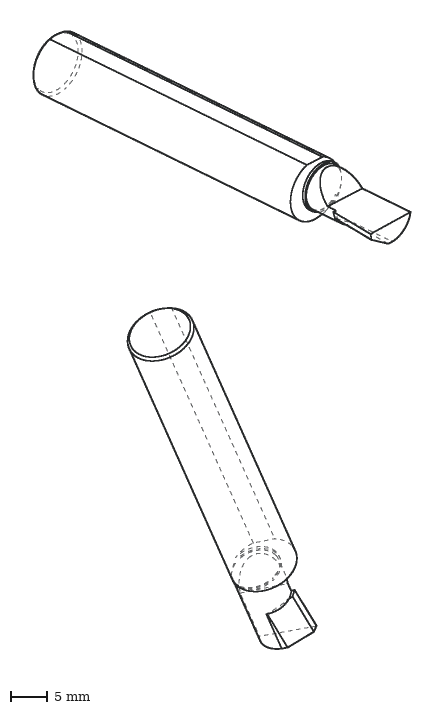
import cadquery as cq
import math

length = 63.5
shank_length = 49.5
shank_radius = 4.75
flat_height = 4.5
end_chamfer = 0.4

neck_radius = 3.4
neck_y = shank_radius - neck_radius
collar_length = 0.45
collar_height = 0.25
ramp_foot_x = 54.05

blade_start_x = 55.6
blade_start_y = -2.6
blade_tip_y = -3.35
blade_overlap = 0.1
blade_back_y = neck_y + blade_overlap
land_depth = 1.15
land_relief = 0.3
tip_relief_angle = 6.0
tip_skew = 0.25


def make_shank():
    """Round bar with a chamfered end and a narrow flat along the top."""
    bar = cq.Workplane("YZ").circle(shank_radius).extrude(shank_length)
    bar = bar.faces("<X").chamfer(end_chamfer)
    below_flat = cq.Workplane("XY").box(
        shank_length, 2 * shank_radius, 2 * shank_radius, centered=(False, True, False)
    ).translate((0, 0, flat_height - 2 * shank_radius))
    return bar.intersect(below_flat)


def make_neck():
    """Offset bar with a low collar at its root; only its +Y half continues to the tip."""
    neck_length = length - shank_length
    neck = (
        cq.Workplane("YZ", origin=(shank_length, neck_y, 0))
        .circle(neck_radius)
        .extrude(neck_length)
    )
    collar = (
        cq.Workplane("YZ", origin=(shank_length, neck_y, 0))
        .circle(neck_radius + collar_height)
        .extrude(collar_length)
    )
    envelope = cq.Workplane("YZ").circle(shank_radius).extrude(length)
    blade_room = cq.Workplane("XY").box(
        length, 2 * neck_radius, 4 * neck_radius, centered=(False, False, True)
    ).translate((blade_start_x, neck_y - 2 * neck_radius, 0))
    return neck.union(collar.intersect(envelope)).cut(blade_room)


def blade_section(x, edge_y):
    """Cross-section with a short land below the edge and a steep undercut."""
    points = [
        (blade_back_y, 0),
        (edge_y, 0),
        (edge_y + land_relief, -land_depth),
        (neck_y + edge_y - blade_start_y, -neck_radius),
        (blade_back_y, -neck_radius),
    ]
    wire = cq.Workplane("YZ", origin=(x, 0, 0)).polyline(points).close()
    return wire.val()


def make_blade():
    sections = [
        blade_section(blade_start_x, blade_start_y),
        blade_section(length, blade_tip_y),
    ]
    return cq.Workplane(cq.Solid.makeLoft(sections, True))


def make_top_cut():
    """Space above the flat blade top and its 45 degree ramp."""
    ramp_rise = 2 * neck_radius
    return (
        cq.Workplane("XZ")
        .polyline([
            (ramp_foot_x, 0),
            (length, 0),
            (length, ramp_rise),
            (ramp_foot_x - ramp_rise, ramp_rise),
        ])
        .close()
        .extrude(2 * shank_radius, both=True)
    )


def make_tip_cut():
    """Wedge that leans the tip back downward and toward +Y."""
    skew_angle = math.degrees(math.atan(tip_skew / (shank_radius - blade_tip_y)))
    block_size = 4 * shank_radius
    return (
        cq.Workplane("XY")
        .box(block_size, 2 * block_size, 2 * block_size, centered=(False, True, True))
        .rotate((0, 0, 0), (0, 1, 0), tip_relief_angle)
        .rotate((0, 0, 0), (0, 0, 1), skew_angle)
        .translate((length, blade_tip_y, 0))
    )


head = make_neck().union(make_blade()).cut(make_tip_cut())
head = head.cut(make_top_cut())
result = make_shank().union(head)